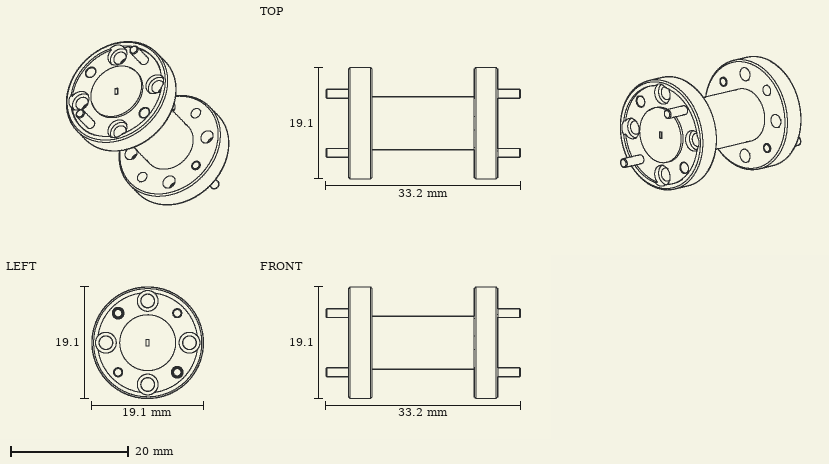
import cadquery as cq
import math

overall_length = 33.15
pin_projection = 3.85
face_x = overall_length / 2 - pin_projection
flange_thickness = 4.05
flange_back_x = face_x - flange_thickness

flange_diameter = 19.05
flange_chamfer = 0.3
barrel_diameter = 9.1

recess_outer_diameter = 17.1
boss_diameter = 9.55
recess_depth = 0.5

bolt_circle_radius = 7.13
screw_hole_diameter = 2.3
counterbore_diameter = 3.55
counterbore_depth = 1.5
socket_diameter = 1.8
socket_chamfer = 0.1

port_width = 0.5
port_height = 1.1
port_depth = 0.13

pin_diameter = 1.55
pin_chamfer = 0.15
pin_length = pin_projection + flange_thickness

screw_angles = [0, 90, 180, 270]
pin_angles_by_side = {-1: [135, 315], 1: [45, 225]}
socket_angles_by_side = {-1: [45, 225], 1: [135, 315]}


def bolt_circle_point(angle):
    turn = math.radians(angle)
    return (bolt_circle_radius * math.cos(turn), bolt_circle_radius * math.sin(turn))


def x_cylinder(diameter, start_x, end_x, centers=((0, 0),)):
    """Cylinders along X from start_x to end_x, centred at (Y, Z) points."""
    plane = cq.Workplane("YZ", origin=(start_x, 0, 0))
    return plane.pushPoints(list(centers)).circle(diameter / 2).extrude(end_x - start_x)


def make_flange(side):
    """Chamfered disc on one end; side is -1 or +1 along X."""
    disc = x_cylinder(flange_diameter, side * flange_back_x, side * face_x)
    return disc.edges().chamfer(flange_chamfer)


def face_recess(side):
    floor_x = side * (face_x - recess_depth)
    ring = x_cylinder(recess_outer_diameter, floor_x, side * face_x)
    return ring.cut(x_cylinder(boss_diameter, floor_x, side * face_x))


def screw_holes(side):
    centers = [bolt_circle_point(angle) for angle in screw_angles]
    holes = x_cylinder(screw_hole_diameter, side * flange_back_x, side * face_x, centers)
    seat_x = side * (face_x - counterbore_depth)
    return holes.union(x_cylinder(counterbore_diameter, seat_x, side * face_x, centers))


def pin_holes(side):
    """Close-fitting holes for this flange's own pins."""
    centers = [bolt_circle_point(angle) for angle in pin_angles_by_side[side]]
    return x_cylinder(pin_diameter, side * flange_back_x, side * face_x, centers)


def pin_sockets(side):
    """Clearance holes for mating pins, chamfered where they open into the recess floor."""
    centers = [bolt_circle_point(angle) for angle in socket_angles_by_side[side]]
    floor_x = side * (face_x - recess_depth)
    sockets = x_cylinder(socket_diameter, side * flange_back_x, floor_x, centers)
    for y, z in centers:
        rim = cq.Solid.makeCone(
            socket_diameter / 2 + socket_chamfer,
            socket_diameter / 2,
            socket_chamfer,
            pnt=cq.Vector(floor_x, y, z),
            dir=cq.Vector(-side, 0, 0),
        )
        sockets = sockets.union(cq.Workplane(rim))
    return sockets


def waveguide_port(side):
    port = cq.Workplane("XY").box(port_depth, port_width, port_height)
    return port.translate((side * (face_x - port_depth / 2), 0, 0))


def make_housing():
    housing = x_cylinder(barrel_diameter, -flange_back_x, flange_back_x)
    for side in (-1, 1):
        housing = housing.union(make_flange(side))
    for side in (-1, 1):
        for make_cut in (face_recess, screw_holes, pin_holes, pin_sockets, waveguide_port):
            housing = housing.cut(make_cut(side))
    return housing


def make_pin(side, angle):
    """Dowel pin chamfered at both ends."""
    tip_x = side * (flange_back_x + pin_length)
    pin = x_cylinder(pin_diameter, side * flange_back_x, tip_x, [bolt_circle_point(angle)])
    return pin.faces("<X or >X").chamfer(pin_chamfer)


housing = make_housing()
pins = [make_pin(side, angle) for side, angles in pin_angles_by_side.items() for angle in angles]

result = cq.Compound.makeCompound([housing.val(), *[pin.val() for pin in pins]])